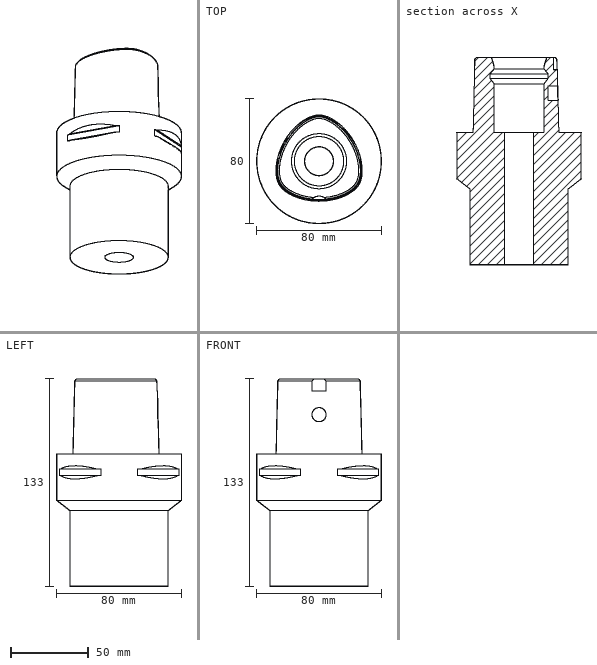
import cadquery as cq
import math

total_height = 133.0
flange_top = 85.0
flange_bottom = 55.2
shank_top = 48.5

flange_radius = 40.0
shank_radius = 31.5

lobe_mean_radius = 27.7
lobe_eccentricity = 2.0
taper_per_height = 1 / 40
rim_chamfer_height = 1.2
rim_chamfer_width = 1.0

bore_mouth_radius = 17.7
bore_lip_radius = 15.8
chamber_radius = 18.5
through_hole_radius = 9.2
lip_top_depth = 6.3
lip_bottom_depth = 7.3
chamber_top_depth = 10.5
chamber_bottom_depth = 13.4
chamber_cone_height = 3.5
bore_floor_depth = total_height - flange_top

key_radius = 6.0
key_inner_y = -22.3
key_depth = 7.7
pin_radius = 4.5
pin_depth_below_top = 22.9
pin_floor_y = -18.6

groove_count = 4
groove_center_z = 73.2
groove_floor_length = 37.5
groove_floor_height = 4.3
groove_mouth_height = 8.5
groove_wall_depth = 1.0
groove_overrun = 1.3


def lobe_wire(mean_radius, z):
    """Closed trilobe curve with one lobe toward +Y; changing the mean radius offsets it."""
    e = lobe_eccentricity

    def point(t):
        a = 2 * math.pi * t
        x = mean_radius * math.sin(a) + 2 * e * math.sin(2 * a) + e * math.sin(4 * a)
        y = -(mean_radius * math.cos(a) - 2 * e * math.cos(2 * a) + e * math.cos(4 * a))
        return (x, y, z)

    return cq.Workplane("XY").parametricCurve(point, N=120).val()


def round_body():
    profile = [
        (0, 0),
        (shank_radius, 0),
        (shank_radius, shank_top),
        (flange_radius, flange_bottom),
        (flange_radius, flange_top),
        (0, flange_top),
    ]
    return cq.Workplane("XZ").polyline(profile).close().revolve(360, (0, 0), (0, 1))


def polygon_taper():
    chamfer_z = total_height - rim_chamfer_height
    chamfer_radius = lobe_mean_radius - (chamfer_z - flange_top) * taper_per_height
    base = lobe_wire(lobe_mean_radius, flange_top)
    shoulder = lobe_wire(chamfer_radius, chamfer_z)
    rim = lobe_wire(chamfer_radius - rim_chamfer_width, total_height)
    taper = cq.Workplane(cq.Solid.makeLoft([base, shoulder], True))
    return taper.union(cq.Workplane(cq.Solid.makeLoft([shoulder, rim], True)))


def stepped_bore():
    radius_and_depth = [
        (0, 0),
        (bore_mouth_radius, 0),
        (bore_lip_radius, lip_top_depth),
        (bore_lip_radius, lip_bottom_depth),
        (chamber_radius, chamber_top_depth),
        (chamber_radius, chamber_bottom_depth),
        (bore_lip_radius, chamber_bottom_depth + chamber_cone_height),
        (bore_lip_radius, bore_floor_depth),
        (through_hole_radius, bore_floor_depth),
        (through_hole_radius, total_height),
        (0, total_height),
    ]
    profile = [(radius, total_height - depth) for radius, depth in radius_and_depth]
    return cq.Workplane("XZ").polyline(profile).close().revolve(360, (0, 0), (0, 1))


def keyway():
    return (
        cq.Workplane("XY", origin=(0, key_inner_y - key_radius, total_height - key_depth))
        .circle(key_radius)
        .extrude(key_depth)
    )


def pin_hole():
    return (
        cq.Workplane("XZ", origin=(0, pin_floor_y, total_height - pin_depth_below_top))
        .circle(pin_radius)
        .extrude(flange_radius + pin_floor_y)
    )


def gripper_groove(angle):
    floor = math.sqrt(flange_radius**2 - (groove_floor_length / 2) ** 2)
    flank_start = floor + groove_wall_depth
    outer = flange_radius + groove_overrun
    half_floor = groove_floor_height / 2
    flank_slope = (groove_mouth_height / 2 - half_floor) / (flange_radius - flank_start)
    half_outer = half_floor + flank_slope * (outer - flank_start)
    profile = [
        (floor, -half_floor),
        (flank_start, -half_floor),
        (outer, -half_outer),
        (outer, half_outer),
        (flank_start, half_floor),
        (floor, half_floor),
    ]
    return (
        cq.Workplane("XZ", origin=(0, 0, groove_center_z))
        .polyline(profile)
        .close()
        .extrude(flange_radius, both=True)
        .rotate((0, 0, 0), (0, 0, 1), angle)
    )


result = round_body().union(polygon_taper())
result = result.cut(stepped_bore()).cut(keyway()).cut(pin_hole())
groove_pitch = 360 / groove_count
for index in range(groove_count):
    result = result.cut(gripper_groove((index + 0.5) * groove_pitch))